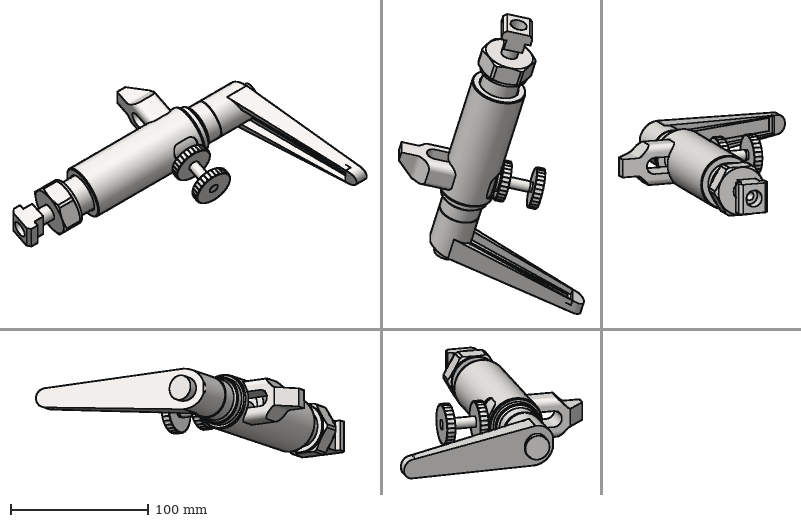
import cadquery as cq
import math


nut_shoulder = 8.2
nut_top = 16.0
hex_bottom = 26.5
hex_top = 41.0
spindle_collar_top = 43.0
housing_bottom = 56.0
housing_top = 151.5
flange_top = 156.0
hub_bottom = 169.5
boss_top = 207.5
hook_y = 136.0

housing_diameter = 40.0
housing_bore = 29.4
housing_bottom_chamfer = 0.7
housing_top_chamfer_height = 1.5
housing_top_chamfer_depth = 0.7

nut_width = 22.1
nut_neck_width = 14.0
nut_chamfer = 2.5

stud_diameter = 12.0
stud_bottom = 9.3
stud_top = 195.7
centre_hole_diameter = 6.3
centre_hole_depth = 3.0

spindle_diameter = 28.0
spindle_top = 116.5
hex_across_flats = 35.9
hex_face_diameter = 35.5
hex_bevel = 1.2

collar_flange_diameter = 35.0
collar_cone_diameter = 32.6
collar_cone_height = 2.0
collar_top_chamfer = 0.5

hub_diameter = 30.0
hub_edge_width = 0.7
hub_edge_height = 2.3
boss_diameter = 18.2
arm_root_width = 30.3
lever_reach = 108.0
lever_tip_top = 233.0
lever_tip_bottom = 224.0
lever_root_top = 202.5
lever_root_bottom = 185.0
lever_tip_radius = 7.2
pocket_root_half_width = 9.5
pocket_end_half_width = 6.8
pocket_end = 98.5
pocket_root_depth = 7.7
pocket_end_depth = 4.7
channel_half_width = 5.0
channel_end = 95.8
channel_depth = 0.5

hook_width = 20.3
hook_height = 30.3
hook_corner_radius = 5.1
hook_tip_x = -55.0
hook_tip_height = 13.5
hook_tip_width = 7.5
hook_shoulder_x = -33.0
hook_neck_radius = 5.0
hook_end_radius = 18.6
hook_slot_width = stud_diameter
hook_slot_start = -35.9
hook_slot_end = 7.0

rod_diameter = 8.2
rod_shoulder = 43.8
rod_neck_diameter = 7.2
knob_diameter = 30.3
knob_thickness = 6.5
clamp_knob_x = 20.5
end_knob_x = 45.7
knob_hub_diameter = 17.0
knob_chamfer = 0.7
groove_count = 28
groove_radius = 3.5
groove_depth = 0.5

rod_end = end_knob_x + knob_thickness


def turned(profile):
    """Solid of revolution about the Y axis from (y, radius) points."""
    return cq.Workplane("YZ").polyline(profile).close().revolve(360, (0, 0, 0), (1, 0, 0))


def cylinder(diameter, start, end):
    """Cylinder on the Y axis between two stations."""
    radius = diameter / 2
    return turned([(start, 0), (end, 0), (end, radius), (start, radius)])


def make_hook_bar():
    """Bar with rounded long edges that the housing window also follows."""
    return (
        cq.Workplane("YZ", origin=(hook_tip_x, hook_y, 0))
        .rect(hook_width, hook_height)
        .extrude(housing_diameter / 2 - hook_tip_x)
        .edges("|X")
        .fillet(hook_corner_radius)
    )


def make_housing():
    """Tube with chamfered rims and a window through both walls for the hook."""
    radius = housing_diameter / 2
    bore = housing_bore / 2
    tube = turned([
        (housing_bottom, bore),
        (housing_bottom, radius - housing_bottom_chamfer),
        (housing_bottom + housing_bottom_chamfer, radius),
        (housing_top - housing_top_chamfer_height, radius),
        (housing_top, radius - housing_top_chamfer_depth),
        (housing_top, bore),
    ])
    return tube.cut(make_hook_bar())


def make_t_nut():
    """T-shaped block with the stud hole along its middle."""
    half = nut_width / 2
    neck = nut_neck_width / 2
    right_side = [
        (half - nut_chamfer, 0),
        (half, nut_chamfer),
        (half, nut_shoulder),
        (neck, nut_shoulder),
        (neck, nut_top),
    ]
    left_side = [(-x, y) for x, y in reversed(right_side)]
    block = cq.Workplane("XY").polyline(right_side + left_side).close().extrude(half, both=True)
    return block.cut(cylinder(stud_diameter, 0, nut_top))


def make_stud():
    """Plain stud with a conical centre hole in its lower end."""
    centre_hole = turned([
        (stud_bottom, 0),
        (stud_bottom, centre_hole_diameter / 2),
        (stud_bottom + centre_hole_depth, 0),
    ])
    return cylinder(stud_diameter, stud_bottom, stud_top).cut(centre_hole)


def make_spindle():
    """Bevelled hexagon, a round collar behind it and a shank that enters the housing."""
    corner_diameter = hex_across_flats / math.cos(math.pi / 6)
    head = (
        cq.Workplane("XZ", origin=(0, hex_bottom, 0))
        .polygon(6, corner_diameter)
        .extrude(hex_bottom - hex_top)
    )
    outer = housing_diameter / 2
    bevelled_blank = turned([
        (hex_bottom, 0),
        (hex_bottom, hex_face_diameter / 2),
        (hex_bottom + hex_bevel, outer),
        (hex_top - hex_bevel, outer),
        (hex_top, hex_face_diameter / 2),
        (hex_top, 0),
    ])
    collar_ring = cylinder(hex_face_diameter, hex_top, spindle_collar_top)
    shank = cylinder(spindle_diameter, hex_top, spindle_top)
    stud_hole = cylinder(stud_diameter, hex_bottom, spindle_top)
    return head.intersect(bevelled_blank).union(collar_ring).union(shank).cut(stud_hole)


def make_collar():
    """Bush with a flange that rests on the housing."""
    hub = hub_diameter / 2
    cone = collar_cone_diameter / 2
    flange = collar_flange_diameter / 2
    bore = stud_diameter / 2
    return turned([
        (housing_top, bore),
        (housing_top, flange),
        (flange_top, flange),
        (flange_top, cone),
        (flange_top + collar_cone_height, hub),
        (hub_bottom - collar_top_chamfer, hub),
        (hub_bottom, hub - collar_top_chamfer),
        (hub_bottom, bore),
    ])


def make_lever_hub():
    """Hub with a top face that follows the slope of the arm, and a round boss above it."""
    slope = (lever_tip_top - lever_root_top) / lever_reach
    half = hub_diameter / 2
    edge_top = lever_root_top + slope * (hub_edge_width - half)
    below_slope = (
        cq.Workplane("XY")
        .polyline([
            (-half, hub_bottom),
            (half, hub_bottom),
            (half, lever_root_top + slope * half),
            (hub_edge_width - half, edge_top),
            (-half, edge_top - hub_edge_height),
        ])
        .close()
        .extrude(half, both=True)
    )
    hub = cylinder(hub_diameter, hub_bottom, boss_top).intersect(below_slope)
    return hub.union(cylinder(boss_diameter, hub_bottom, boss_top))


def make_lever_blank():
    """Arm before its pocket is cut: a sloping side outline, tapered in width to a round tip."""
    half_root = arm_root_width / 2
    side = (
        cq.Workplane("XY")
        .polyline([
            (0, lever_root_bottom),
            (lever_reach, lever_tip_bottom),
            (lever_reach, lever_tip_top),
            (0, lever_root_top),
        ])
        .close()
        .extrude(half_root, both=True)
    )
    arc_start = lever_reach - lever_tip_radius
    taper = (
        cq.Workplane("XZ")
        .moveTo(0, -half_root)
        .lineTo(arc_start, -lever_tip_radius)
        .threePointArc((lever_reach, 0), (arc_start, lever_tip_radius))
        .lineTo(0, half_root)
        .close()
        .extrude(-lever_tip_top)
    )
    return side.intersect(taper)


def underside_cutter(root_half_width, end_half_width, end_x, extra_depth):
    """Recess in the sloping underside of the arm, from the hub out to end_x.

    Its floor lies extra_depth beyond the pocket floor, which gets shallower towards the tip.
    """
    underside_slope = (lever_tip_bottom - lever_root_bottom) / lever_reach
    pocket_end_floor = lever_root_bottom + underside_slope * pocket_end + pocket_end_depth
    floor_root = lever_root_bottom + pocket_root_depth
    floor_slope = (pocket_end_floor - floor_root) / pocket_end
    plan = (
        cq.Workplane("XZ")
        .polyline([
            (0, -root_half_width),
            (end_x, -end_half_width),
            (end_x, end_half_width),
            (0, root_half_width),
        ])
        .close()
        .extrude(-lever_tip_top)
    )
    below_floor = (
        cq.Workplane("XY")
        .polyline([
            (0, 0),
            (end_x, 0),
            (end_x, floor_root + floor_slope * end_x + extra_depth),
            (0, floor_root + extra_depth),
        ])
        .close()
        .extrude(arm_root_width / 2, both=True)
    )
    return plan.intersect(below_floor)


def make_lever():
    """Hub and arm in one, with a tapered pocket and a shallow channel along the pocket floor."""
    pocket = underside_cutter(pocket_root_half_width, pocket_end_half_width, pocket_end, 0)
    channel = underside_cutter(channel_half_width, channel_half_width, channel_end, channel_depth)
    arm = make_lever_blank().cut(pocket).cut(channel)
    return arm.union(make_lever_hub()).cut(cylinder(stud_diameter, hub_bottom, stud_top))


def make_hook():
    """Hook bar with a bevelled tip, a slot for the stud and the threaded rod on its far end."""
    front = hook_y - hook_width / 2
    back = hook_y + hook_width / 2
    half = hook_height / 2
    tip_half = hook_tip_height / 2
    bevel_end_x = hook_tip_x + hook_width - hook_tip_width
    neck_x = hook_shoulder_x - (half - tip_half)
    end_corner_x = math.sqrt(hook_end_radius**2 - half**2)

    plan = (
        cq.Workplane("XY")
        .polyline([
            (hook_tip_x, front),
            (hook_end_radius, front),
            (hook_end_radius, back),
            (bevel_end_x, back),
            (hook_tip_x, front + hook_tip_width),
        ])
        .close()
        .extrude(half, both=True)
    )
    side = (
        cq.Workplane("XZ", origin=(0, front, 0))
        .moveTo(end_corner_x, half)
        .lineTo(hook_shoulder_x, half)
        .lineTo(neck_x, tip_half)
        .lineTo(hook_tip_x, tip_half)
        .lineTo(hook_tip_x, -tip_half)
        .lineTo(neck_x, -tip_half)
        .lineTo(hook_shoulder_x, -half)
        .lineTo(end_corner_x, -half)
        .threePointArc((hook_end_radius, 0), (end_corner_x, half))
        .close()
        .extrude(-hook_width)
    )
    for neck_z in (tip_half, -tip_half):
        neck_edge = cq.NearestToPointSelector((neck_x, hook_y, neck_z))
        side = side.edges(neck_edge).fillet(hook_neck_radius)
    slot = (
        cq.Workplane("XZ", origin=((hook_slot_start + hook_slot_end) / 2, front, 0))
        .slot2D(hook_slot_end - hook_slot_start, hook_slot_width)
        .extrude(-hook_width)
    )
    body = make_hook_bar().intersect(plan).intersect(side).cut(slot)
    return body.union(make_rod())


def make_rod():
    """Stepped rod along X, rooted in the hook between its slot and its rounded end."""
    start = (hook_slot_end + hook_end_radius) / 2
    return (
        cq.Workplane("XY", origin=(0, hook_y, 0))
        .polyline([
            (start, 0),
            (start, rod_diameter / 2),
            (rod_shoulder, rod_diameter / 2),
            (rod_shoulder, rod_neck_diameter / 2),
            (rod_end, rod_neck_diameter / 2),
            (rod_end, 0),
        ])
        .close()
        .revolve(360, (0, 0, 0), (1, 0, 0))
    )


def make_knob(inner_face, hub_length):
    """Scalloped disc on the rod, with an optional round hub on its inner face."""
    face = cq.Workplane("YZ", origin=(inner_face, hook_y, 0))
    disc = face.circle(knob_diameter / 2).extrude(knob_thickness).edges().chamfer(knob_chamfer)
    groove_circle_radius = knob_diameter / 2 + groove_radius - groove_depth
    grooves = (
        face.polarArray(groove_circle_radius, 0, 360, groove_count)
        .circle(groove_radius)
        .extrude(knob_thickness)
    )
    knob = disc.cut(grooves)
    if hub_length > 0:
        knob = knob.union(face.circle(knob_hub_diameter / 2).extrude(-hub_length))
    return knob.cut(make_rod())


housing = make_housing()
t_nut = make_t_nut()
stud = make_stud()
spindle = make_spindle()
collar = make_collar()
lever = make_lever()
hook = make_hook()
knob_places = [(clamp_knob_x, clamp_knob_x - hook_end_radius), (end_knob_x, 0)]
knobs = [make_knob(inner_face, hub_length) for inner_face, hub_length in knob_places]

result = cq.Compound.makeCompound([
    housing.val(),
    t_nut.val(),
    stud.val(),
    spindle.val(),
    collar.val(),
    lever.val(),
    hook.val(),
    *[knob.val() for knob in knobs],
])